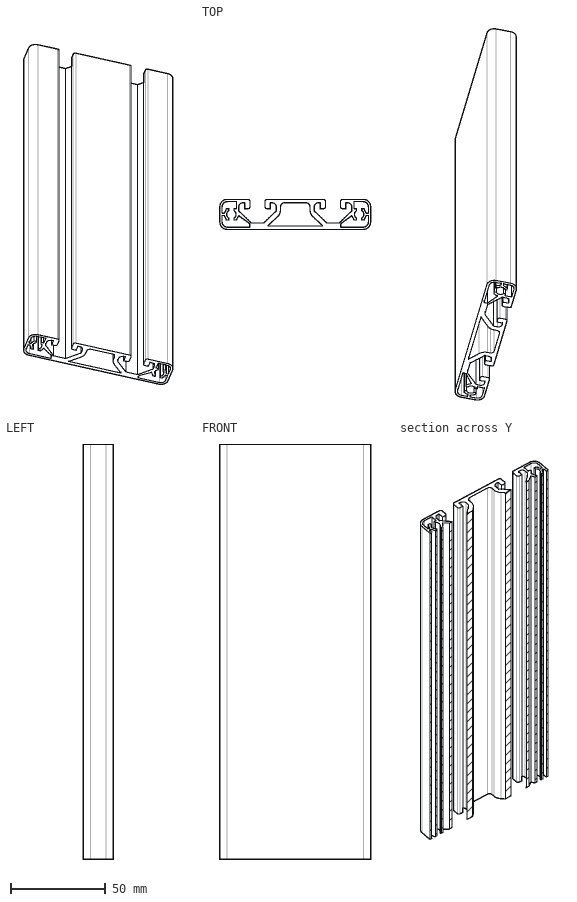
import cadquery as cq

width = 80.0
depth = 16.0
length = 220.0
corner_radius = 4.0

half_width = width / 2
top = depth / 2
bottom = -depth / 2

wall = 1.3
center_wall = 2.0

slot_center = width / 4
slot_half_opening = 4.0
lip_thickness = 2.9
lip_drop = 5.0
lip_rounding = 1.0
channel_half_width = 10.0
channel_shoulder = top - 6.2
channel_floor_half_width = 3.3
channel_floor = top - 12.5
channel_rounding = 2.0

chamber_half_width = 7.7
chamber_elbow = top - 7.7
chamber_floor_half_width = 14.5
chamber_rounding = 1.8
chamber_elbow_rounding = 5.5

web_x = half_width - 8.8
web_foot = top - 8.8
knee_x = half_width - 10.1
diagonal_end_x = half_width - 15.8
diagonal_end = top - 13.0
inner_corner_radius = corner_radius - wall

port_x = half_width - 6.2
port_radius = 2.5
port_mouth = 2.6
claw_half_height = 3.0
stem_half_height = 0.7
outer_claw_root_x = half_width - 2.5
outer_claw_back_x = half_width - 3.5


def prism(points):
    return cq.Workplane("XY").polyline(points).close().extrude(length)


def bar(x_min, x_max, y_min, y_max):
    return prism([(x_min, y_min), (x_max, y_min), (x_max, y_max), (x_min, y_max)])


def round_edge(solid, x, y, radius):
    """Fillet the lengthwise edge that passes nearest to (x, y)."""
    edge = cq.selectors.NearestToPointSelector((x, y, length / 2))
    return solid.edges("|Z").edges(edge).fillet(radius)


def both_sides(solid):
    return solid.union(solid.mirror("YZ"))


def outer_body():
    return cq.Workplane("XY").rect(width, depth).extrude(length).edges("|Z").fillet(corner_radius)


def central_chamber():
    ceiling = top - center_wall
    floor = bottom + center_wall
    right_half = [
        (chamber_floor_half_width, floor),
        (chamber_half_width, chamber_elbow),
        (chamber_half_width, ceiling),
    ]
    left_half = [(-x, y) for x, y in reversed(right_half)]
    chamber = prism(right_half + left_half)
    for side in (-1, 1):
        chamber = round_edge(chamber, side * chamber_half_width, ceiling, chamber_rounding)
        chamber = round_edge(chamber, side * chamber_half_width, chamber_elbow, chamber_elbow_rounding)
    return chamber


def slot_channel():
    """Wide inner part of a T-slot plus its opening, centred on X = 0."""
    ceiling = top - center_wall
    right_half = [
        (channel_floor_half_width, channel_floor),
        (channel_half_width, channel_shoulder),
        (channel_half_width, ceiling),
    ]
    left_half = [(-x, y) for x, y in reversed(right_half)]
    channel = prism(right_half + left_half)
    for side in (-1, 1):
        channel = round_edge(channel, side * channel_half_width, ceiling, channel_rounding)
    mouth = slot_half_opening + lip_thickness
    return channel.union(bar(-mouth, mouth, ceiling, top))


def slot_lips():
    """Pair of lips that narrow the slot opening, centred on X = 0."""
    lip = bar(slot_half_opening, slot_half_opening + lip_thickness, top - lip_drop, top)
    lip = lip.edges("|Z and <X").fillet(lip_rounding)
    return both_sides(lip)


def side_chamber():
    inner_x = half_width - wall
    ceiling = top - wall
    floor = bottom + wall
    chamber = prism([
        (inner_x, ceiling),
        (web_x, ceiling),
        (web_x, web_foot),
        (knee_x, web_foot),
        (diagonal_end_x, diagonal_end),
        (diagonal_end_x, floor),
        (inner_x, floor),
    ])
    return chamber.edges("|Z and >X").fillet(inner_corner_radius)


def screw_port():
    """Claws that grip a screw thread, one pair on the outer wall and one on the web."""
    tip_gap = port_mouth / 2
    outer_tip_x = port_x + tip_gap
    inner_tip_x = port_x - tip_gap
    outer_claws = prism([
        (half_width - wall, stem_half_height),
        (outer_claw_root_x, stem_half_height),
        (outer_claw_back_x, claw_half_height),
        (outer_tip_x, claw_half_height),
        (outer_tip_x, -claw_half_height),
        (outer_claw_back_x, -claw_half_height),
        (outer_claw_root_x, -stem_half_height),
        (half_width - wall, -stem_half_height),
    ])
    inner_claws = prism([
        (inner_tip_x, claw_half_height),
        (web_x, claw_half_height),
        (knee_x, web_foot),
        (web_x, -claw_half_height),
        (inner_tip_x, -claw_half_height),
    ])
    bore = cq.Workplane("XY").center(port_x, 0).circle(port_radius).extrude(length)
    return outer_claws.union(inner_claws).cut(bore)


slot_position = (slot_center, 0, 0)
result = (
    outer_body()
    .cut(central_chamber())
    .cut(both_sides(slot_channel().translate(slot_position)))
    .cut(both_sides(side_chamber()))
    .union(both_sides(slot_lips().translate(slot_position)))
    .union(both_sides(screw_port()))
)